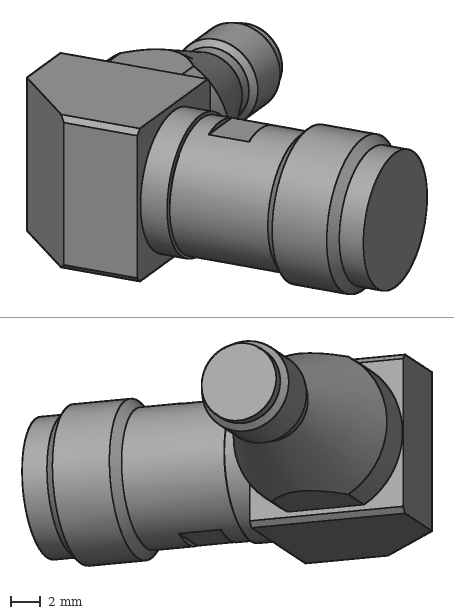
import cadquery as cq


BLOCK = 11.0
AXIS = BLOCK / 2
BLOCK_CHAMFER = 0.39
COLLAR_RADIUS = 5.01
COLLAR_END = 12.98

END = 27.55
SEAT_LENGTH = 0.1
SEAT_RADIUS = 4.55

BASE_RADIUS = AXIS
BASE_END = 14.05
BASE_FLAT = 4.77
NECK_RADIUS = 2.67
CONE_END = 21.52
SMALL_NUT_RADIUS = 3.1
SMALL_NUT_START = 22.54
SMALL_NUT_END = 26.78

TUBE_RADIUS = 4.82
LARGE_NUT_RADIUS = 5.45
LARGE_NUT_START = 20.41
LARGE_NUT_END = 25.75
NOTCH_START = 14.45
NOTCH_END = 17.47
NOTCH_FLOOR = 4.5


def nut_profile(tube_radius, nut_radius, start, end):
    """(radius, station) points of a nut with 45 degree bevels at both ends."""
    bevel = nut_radius - tube_radius
    return [
        (tube_radius, start),
        (nut_radius, start + bevel),
        (nut_radius, end - bevel),
        (tube_radius, end),
    ]


def seat_profile(radius, start):
    """(radius, station) points of the narrow shoulder and the step up to the connector."""
    return [
        (SEAT_RADIUS, start),
        (SEAT_RADIUS, start + SEAT_LENGTH),
        (radius, start + SEAT_LENGTH),
    ]


def make_block():
    """Corner block with one corner cut at 45 degrees and a collar on its +X face."""
    body = cq.Workplane("XY").box(BLOCK, BLOCK, BLOCK).translate((AXIS, AXIS, 0))
    body = body.edges("|X").chamfer(BLOCK_CHAMFER)
    corner = (
        cq.Workplane("XY")
        .polyline([(0, 0), (AXIS, 0), (0, AXIS)])
        .close()
        .extrude(BLOCK / 2, both=True)
    )
    collar = (
        cq.Workplane("YZ", origin=(BLOCK, AXIS, 0))
        .circle(COLLAR_RADIUS)
        .extrude(COLLAR_END - BLOCK)
    )
    return body.cut(corner).union(collar)


def make_small_connector():
    """Turned connector along Y: flatted base, cone, neck and bevelled nut."""
    profile = [
        (0, BLOCK),
        *seat_profile(BASE_RADIUS, BLOCK),
        (BASE_RADIUS, BASE_END),
        (NECK_RADIUS, CONE_END),
        *nut_profile(NECK_RADIUS, SMALL_NUT_RADIUS, SMALL_NUT_START, SMALL_NUT_END),
        (NECK_RADIUS, END),
        (0, END),
    ]
    turned = cq.Workplane("XY").polyline(profile).close().revolve(360, (0, 0, 0), (0, 1, 0))
    between_flats = (
        cq.Workplane("XY")
        .box(2 * BASE_RADIUS, END, 2 * BASE_FLAT)
        .translate((0, END / 2, 0))
    )
    return turned.intersect(between_flats).translate((AXIS, 0, 0))


def make_large_connector():
    """Turned connector along X: tube notched above and below, with a bevelled nut."""
    profile = [
        (0, COLLAR_END),
        *seat_profile(TUBE_RADIUS, COLLAR_END),
        *nut_profile(TUBE_RADIUS, LARGE_NUT_RADIUS, LARGE_NUT_START, LARGE_NUT_END),
        (TUBE_RADIUS, END),
        (0, END),
    ]
    points = [(station, radius) for radius, station in profile]
    body = cq.Workplane("XY").polyline(points).close().revolve(360, (0, 0, 0), (1, 0, 0))
    notch_length = NOTCH_END - NOTCH_START
    notch_middle = (NOTCH_START + NOTCH_END) / 2
    notch_depth = TUBE_RADIUS - NOTCH_FLOOR
    for side in (1, -1):
        notch = (
            cq.Workplane("XY")
            .box(notch_length, 2 * TUBE_RADIUS, notch_depth)
            .translate((notch_middle, 0, side * (NOTCH_FLOOR + notch_depth / 2)))
        )
        body = body.cut(notch)
    return body.translate((0, AXIS, 0))


block = make_block()
small_connector = make_small_connector()
large_connector = make_large_connector()

result = cq.Compound.makeCompound([
    block.solids().val(),
    small_connector.solids().val(),
    large_connector.solids().val(),
])